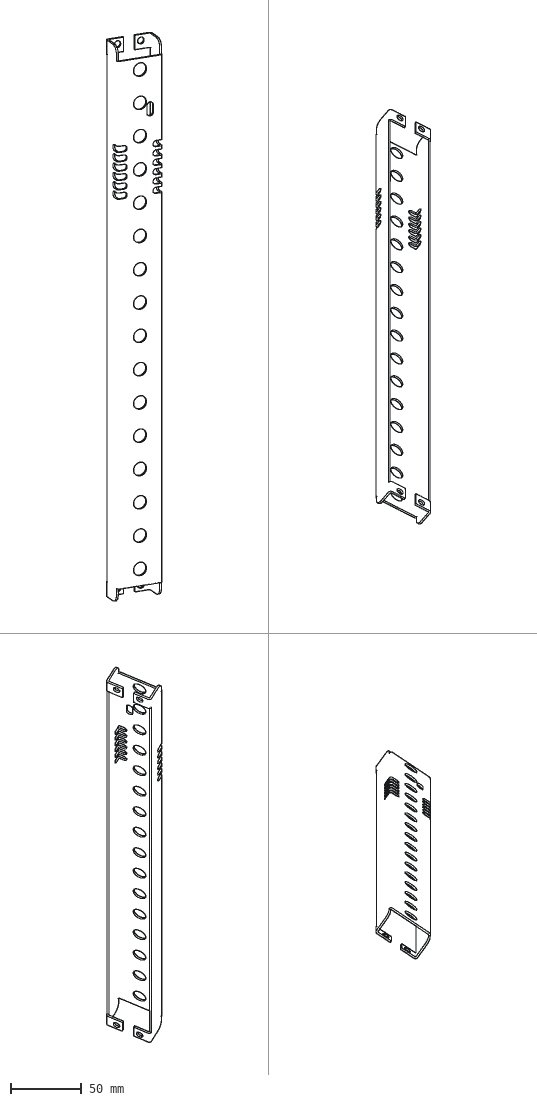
import cadquery as cq

depth = 19.2
width = 35.5
height = 418.2

sheet = 1.5
bend_radius = 1.9
inner_radius = bend_radius - sheet

end_setback = 11.0
flange_end = depth - bend_radius
flange_corner_radius = 6.0

lip_gap = 8.8
lip_corner_radius = 1.0
lip_hole_diameter = 5.0
lip_hole_y = 9.0
lip_hole_from_end = 4.5

web_hole_count = 16
web_hole_diameter = 10.0
web_hole_span = 375.0
web_hole_mid_z = 211.2

slot_width = 5.0
slot_length = 10.5
slot_y = 8.0
slot_z = 368.0

bend_slot_count = 6
bend_slot_height = 4.5
bend_slot_span = 35.0
bend_slot_mid_z = 323.7
bend_slot_reach = 7.5


def box(x0, x1, y0, y1, z0, z1):
    """Box between the given limits."""
    return cq.Workplane("XY").box(x1 - x0, y1 - y0, z1 - z0, centered=False).translate((x0, y0, z0))


def row(count, span, middle):
    """Evenly spaced positions covering span, centred on middle."""
    pitch = span / (count - 1)
    return [middle - span / 2 + i * pitch for i in range(count)]


def folded_tube():
    """Closed rectangular tube with rounded bends, later opened into the channel."""
    outer = box(0, depth, -width / 2, width / 2, 0, height).edges("|Z").fillet(bend_radius)
    inner = box(sheet, depth - sheet, sheet - width / 2, width / 2 - sheet, 0, height)
    return outer.cut(inner.edges("|Z").fillet(inner_radius))


def front_opening():
    """The -X wall and its bends, except for the four lips."""
    gap = box(0, bend_radius, -lip_gap / 2, lip_gap / 2, 0, height)
    between_lips = box(0, bend_radius, -width / 2, width / 2, end_setback, height - end_setback)
    return gap.union(between_lips)


def end_cuts():
    """Material past the web ends, leaving flanges with rounded corners."""
    flange_profile = (
        box(0, flange_end, -width / 2, width / 2, 0, height)
        .edges("|Y and >X").fillet(flange_corner_radius)
    )
    bottom = box(bend_radius, depth, -width / 2, width / 2, 0, end_setback)
    top = box(bend_radius, depth, -width / 2, width / 2, height - end_setback, height)
    return bottom.union(top).cut(flange_profile)


def cylinders_along_x(points, diameter, x0, x1):
    """Round cutters along X at the given (y, z) points."""
    return cq.Workplane("YZ", origin=(x0, 0, 0)).pushPoints(points).circle(diameter / 2).extrude(x1 - x0)


def lip_holes():
    points = [
        (side * lip_hole_y, z)
        for side in (-1, 1)
        for z in (lip_hole_from_end, height - lip_hole_from_end)
    ]
    return cylinders_along_x(points, lip_hole_diameter, 0, sheet)


def web_holes():
    points = [(0, z) for z in row(web_hole_count, web_hole_span, web_hole_mid_z)]
    return cylinders_along_x(points, web_hole_diameter, depth - sheet, depth)


def web_slot():
    return (
        cq.Workplane("YZ", origin=(depth - sheet, slot_y, slot_z))
        .slot2D(slot_length, slot_width, 90)
        .extrude(sheet)
    )


def bend_slots():
    """Slots across the +Y web bend, round-ended in both the web and the flange."""
    zs = row(bend_slot_count, bend_slot_span, bend_slot_mid_z)
    outer_y = width / 2
    in_web = (
        cq.Workplane("YZ", origin=(depth - bend_radius, 0, 0))
        .pushPoints([(outer_y, z) for z in zs])
        .slot2D(2 * bend_slot_reach, bend_slot_height)
        .extrude(bend_radius)
    )
    in_flange = (
        cq.Workplane("XZ", origin=(0, outer_y, 0))
        .pushPoints([(depth, z) for z in zs])
        .slot2D(2 * bend_slot_reach, bend_slot_height)
        .extrude(bend_radius)
    )
    return in_web.union(in_flange)


channel = folded_tube().cut(front_opening()).cut(end_cuts())

bottom_lip_corners = cq.selectors.BoxSelector(
    (0, -lip_gap, -lip_corner_radius),
    (sheet, lip_gap, lip_corner_radius),
)
channel = channel.edges("|X").edges(bottom_lip_corners).fillet(lip_corner_radius)

channel = channel.cut(lip_holes()).cut(web_holes()).cut(web_slot())
result = channel.cut(bend_slots()).cut(bend_slots().mirror("XZ"))